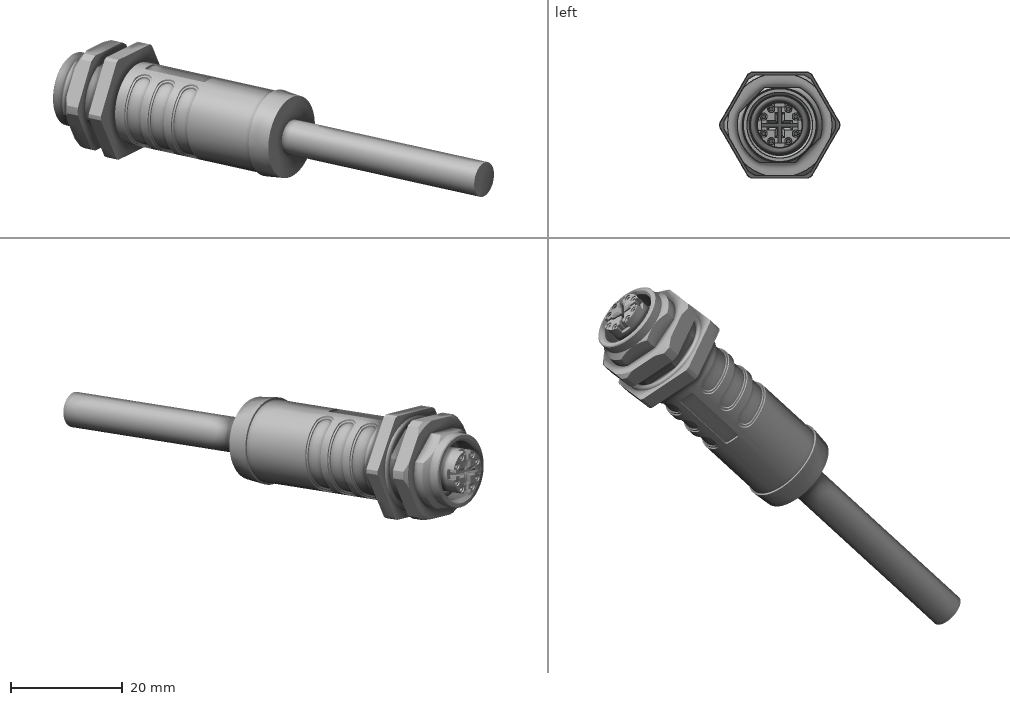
import cadquery as cq
import math

TOTAL_LENGTH = 90.0

SHELL_START = 1.4
SHELL_DIAMETER = 13.4
SHELL_EDGE = 0.2
BORE_DIAMETER = 10.9
BORE_EDGE = 0.45
BORE_FLOOR = 5.4
NECK_START = 3.3
NECK_DIAMETER = 15.2
NECK_FLATS = SHELL_DIAMETER
FLAT_TILT = -45.0

INSERT_DIAMETER = 8.0
INSERT_ROOT = 0.9
SLOT_WIDTH = 0.6
SLOT_LENGTH = 6.5
SLOT_DEPTH = 3.6
RIM_NOTCH_WIDTH = 1.9
RIM_NOTCH_DEPTH = SHELL_START
LEAD_IN_WIDTH = 1.7
LEAD_IN_LENGTH = 4.5
LEAD_IN_DEPTH = 0.45
LEAD_IN_SLOPE = 45.0
CONTACT_NEAR = 1.5
CONTACT_FAR = 2.9
CONTACT_DIAMETER = 1.3
CONTACT_RECESS = 0.3
PIN_HOLE_DIAMETER = 0.73
PIN_HOLE_DEPTH = 3.6

BORE_SEAL_RADIUS = 4.7
BORE_SEAL_SECTION_RADIUS = 0.585

NUT_START = 6.1
NUT_END = 9.1
NUT_FLATS = 18.0
NUT_CORNERS = 20.0
NUT_CHAMFER = 0.6
FLANGE_START = 12.0
FLANGE_END = 14.6
FLANGE_FLATS = 19.0
FLANGE_CORNERS = 21.5
FLANGE_SEAL_RADIUS = 8.1
FLANGE_SEAL_SECTION_RADIUS = 0.6
FLANGE_SEAL_REACH = 0.45

BODY_START = 15.5
BODY_DIAMETER = 15.0
WAIST_DIAMETER = 9.4
COLLAR_START = 44.55
COLLAR_END = 48.5
COLLAR_DIAMETER = 15.8
CABLE_DIAMETER = 6.4

GRIP_COUNT = 3
GRIP_PITCH = 5.0
GRIP_FIRST = 19.3
GRIP_WIDTH = 3.6
GRIP_FLOOR_WIDTH = 3.0
GRIP_INNER_END = 2.8
GRIP_STEP = 0.5
LABEL_LENGTH = 13.05
LABEL_WIDTH = 3.1
LABEL_CORNER = 0.45
LABEL_FLOOR = 7.1


def rod(start, end, diameter):
    """Solid cylinder along X."""
    return cq.Workplane("YZ", origin=(start, 0, 0)).circle(diameter / 2).extrude(end - start)


def bar(start, end, flats, tilt=0.0):
    """Bar along X, flat on two opposite faces and tilted about X."""
    block = cq.Workplane("YZ", origin=(start, 0, 0)).rect(2 * flats, flats).extrude(end - start)
    return block.rotate((0, 0, 0), (1, 0, 0), tilt)


def hexagon(start, end, flats, corners):
    """Hexagon along X with level top and bottom and corners turned down to a diameter."""
    sharp_corners = flats / math.cos(math.pi / 6)
    prism = cq.Workplane("YZ", origin=(start, 0, 0)).polygon(6, sharp_corners).extrude(end - start)
    return prism.intersect(rod(start, end, corners))


def ring(x, radius, section):
    """Ring about the X axis with a round section of the given radius."""
    return cq.Workplane("XY", origin=(x, radius, 0)).circle(section).revolve(
        360, (0, -radius, 0), (1, -radius, 0))


def cross(width, length, depth, slope=0.0):
    """Upright cross of two equal bars, reaching back from the mating end and narrowing by the slope."""
    level = cq.Workplane("YZ").rect(length, width).extrude(depth, taper=slope)
    return level.union(cq.Workplane("YZ").rect(width, length).extrude(depth, taper=slope))


def make_shell():
    tip = rod(SHELL_START, FLANGE_START, SHELL_DIAMETER).faces("<X").edges().chamfer(SHELL_EDGE)
    neck_chamfer = (NECK_DIAMETER - SHELL_DIAMETER) / 2
    neck = rod(NECK_START, FLANGE_START, NECK_DIAMETER).faces("<X").chamfer(neck_chamfer)
    neck = neck.intersect(bar(NECK_START, FLANGE_START, NECK_FLATS))
    neck = neck.intersect(bar(NECK_START, FLANGE_START, NECK_FLATS, FLAT_TILT))
    bore = rod(SHELL_START, BORE_FLOOR, BORE_DIAMETER)
    shell = tip.union(neck).cut(bore)
    mouth = cq.Workplane("XY").polyline([
        (SHELL_START, 0),
        (SHELL_START, BORE_DIAMETER / 2 + BORE_EDGE),
        (SHELL_START + BORE_EDGE, BORE_DIAMETER / 2),
        (SHELL_START + BORE_EDGE, 0),
    ]).close().revolve(360, (0, 0, 0), (1, 0, 0))
    return shell.cut(mouth).union(ring(BORE_FLOOR, BORE_SEAL_RADIUS, BORE_SEAL_SECTION_RADIUS))


def make_insert():
    insert = rod(0, BORE_FLOOR + INSERT_ROOT, INSERT_DIAMETER)
    core = cq.Workplane("YZ").rect(SLOT_LENGTH, SLOT_LENGTH).extrude(RIM_NOTCH_DEPTH)
    insert = insert.cut(cross(RIM_NOTCH_WIDTH, INSERT_DIAMETER, RIM_NOTCH_DEPTH).cut(core))
    insert = insert.cut(cross(SLOT_WIDTH, SLOT_LENGTH, SLOT_DEPTH))
    insert = insert.cut(cross(LEAD_IN_WIDTH, LEAD_IN_LENGTH, LEAD_IN_DEPTH, LEAD_IN_SLOPE))
    places = [
        (side_y * y, side_z * z)
        for y, z in ((CONTACT_NEAR, CONTACT_FAR), (CONTACT_FAR, CONTACT_NEAR))
        for side_y in (-1, 1)
        for side_z in (-1, 1)
    ]
    for diameter, depth in ((CONTACT_DIAMETER, CONTACT_RECESS), (PIN_HOLE_DIAMETER, PIN_HOLE_DEPTH)):
        insert = insert.cut(cq.Workplane("YZ").pushPoints(places).circle(diameter / 2).extrude(depth))
    return insert


def make_nut():
    nut = hexagon(NUT_START, NUT_END, NUT_FLATS, NUT_CORNERS)
    return nut.intersect(rod(NUT_START, NUT_END, NUT_CORNERS).faces("<X").chamfer(NUT_CHAMFER))


def make_flange():
    flange = hexagon(FLANGE_START, FLANGE_END, FLANGE_FLATS, FLANGE_CORNERS)
    seal_center = FLANGE_START - FLANGE_SEAL_REACH + FLANGE_SEAL_SECTION_RADIUS
    return flange.union(ring(seal_center, FLANGE_SEAL_RADIUS, FLANGE_SEAL_SECTION_RADIUS))


def grip_pocket(x, side):
    """Slot open to one side, wrapping from top to bottom, narrowing in one step to a round floor."""
    reach = BODY_DIAMETER / 2

    def slot(width, end):
        center = end + width / 2
        profile = (
            cq.Workplane("XY", origin=(x, 0, -BODY_DIAMETER))
            .moveTo(-width / 2, side * 2 * reach)
            .lineTo(-width / 2, side * center)
            .threePointArc((0, side * end), (width / 2, side * center))
            .lineTo(width / 2, side * 2 * reach)
            .close()
        )
        return profile.extrude(2 * BODY_DIAMETER)

    ledge = (GRIP_WIDTH - GRIP_FLOOR_WIDTH) / 2
    upper = slot(GRIP_WIDTH, GRIP_INNER_END).cut(rod(0, COLLAR_END, BODY_DIAMETER - GRIP_STEP))
    lower = slot(GRIP_FLOOR_WIDTH, GRIP_INNER_END + ledge).cut(
        rod(0, COLLAR_END, BODY_DIAMETER - 2 * GRIP_STEP))
    return upper.union(lower)


def make_body():
    body = rod(BODY_START, COLLAR_END, BODY_DIAMETER)
    for index in range(GRIP_COUNT):
        for side in (-1, 1):
            body = body.cut(grip_pocket(GRIP_FIRST + index * GRIP_PITCH, side))
    middle = GRIP_FIRST + GRIP_PITCH * (GRIP_COUNT - 1) / 2
    label = (
        cq.Workplane("XY", origin=(middle, 0, LABEL_FLOOR))
        .rect(LABEL_LENGTH, LABEL_WIDTH)
        .extrude(BODY_DIAMETER)
        .edges("|Z")
        .fillet(LABEL_CORNER)
    )
    body = body.cut(label).cut(label.mirror("XY"))
    collar = cq.Workplane("YZ", origin=(COLLAR_START, 0, 0)).circle(COLLAR_DIAMETER / 2)
    collar = collar.workplane(offset=COLLAR_END - COLLAR_START).circle(BODY_DIAMETER / 2).loft()
    return body.union(collar)


waist = rod(FLANGE_START, COLLAR_START, WAIST_DIAMETER)
cable = rod(COLLAR_START, TOTAL_LENGTH, CABLE_DIAMETER)
result = (
    make_shell()
    .union(make_insert())
    .union(make_nut())
    .union(make_flange())
    .union(waist)
    .union(make_body())
    .union(cable)
)